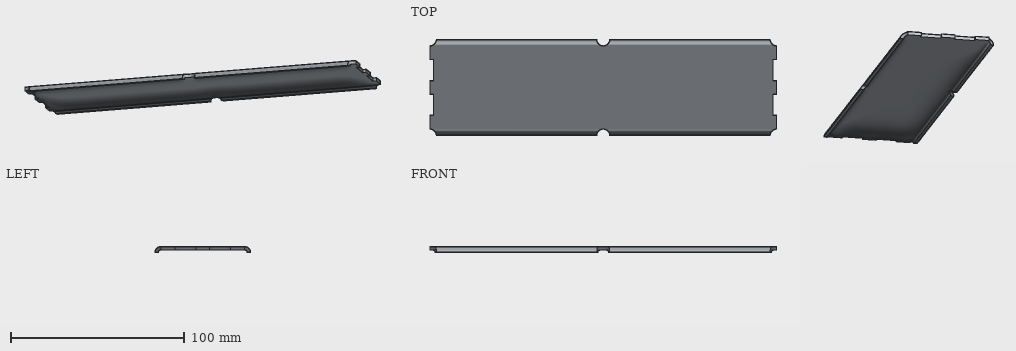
import cadquery as cq
import math

length = 200.0
width = 55.3
height = 3.33
thickness = 2.0

outer_bend_radius = 3.55
inner_bend_radius = outer_bend_radius - thickness


def bend_reach(radius):
    """Distance along Y from the bend axis to an arc of this radius at the bottom face."""
    return math.sqrt(radius**2 - (height - outer_bend_radius) ** 2)


outer_half_width = width / 2
flat_half_width = outer_half_width - bend_reach(outer_bend_radius)
inner_half_width = flat_half_width + bend_reach(inner_bend_radius)

relief_radius = 3.75
relief_center_y = 27.8

tab_depth = 2.0
slot_width = 12.0
center_tab_width = 8.0
slot_center_y = (center_tab_width + slot_width) / 2


def bent_sheet():
    """Flat sheet with both long edges rolled down, top face at Z = 0."""
    return (
        cq.Workplane("YZ")
        .moveTo(-flat_half_width, 0)
        .lineTo(flat_half_width, 0)
        .radiusArc((outer_half_width, -height), outer_bend_radius)
        .lineTo(inner_half_width, -height)
        .radiusArc((flat_half_width, -thickness), -inner_bend_radius)
        .lineTo(-flat_half_width, -thickness)
        .radiusArc((-inner_half_width, -height), -inner_bend_radius)
        .lineTo(-outer_half_width, -height)
        .radiusArc((-flat_half_width, 0), outer_bend_radius)
        .close()
        .extrude(length / 2, both=True)
    )


def bend_reliefs():
    """Vertical cylinders that interrupt the bent edges."""
    centers = [
        (x, side * relief_center_y)
        for x in (-length / 2, 0, length / 2)
        for side in (-1, 1)
    ]
    return (
        cq.Workplane("XY")
        .pushPoints(centers)
        .circle(relief_radius)
        .extrude(-height)
    )


def end_slots():
    """Rectangular slots that leave three tabs on each short end."""
    centers = [
        (end * length / 2, side * slot_center_y)
        for end in (-1, 1)
        for side in (-1, 1)
    ]
    return (
        cq.Workplane("XY")
        .pushPoints(centers)
        .rect(2 * tab_depth, slot_width)
        .extrude(-height)
    )


result = bent_sheet().cut(bend_reliefs()).cut(end_slots())